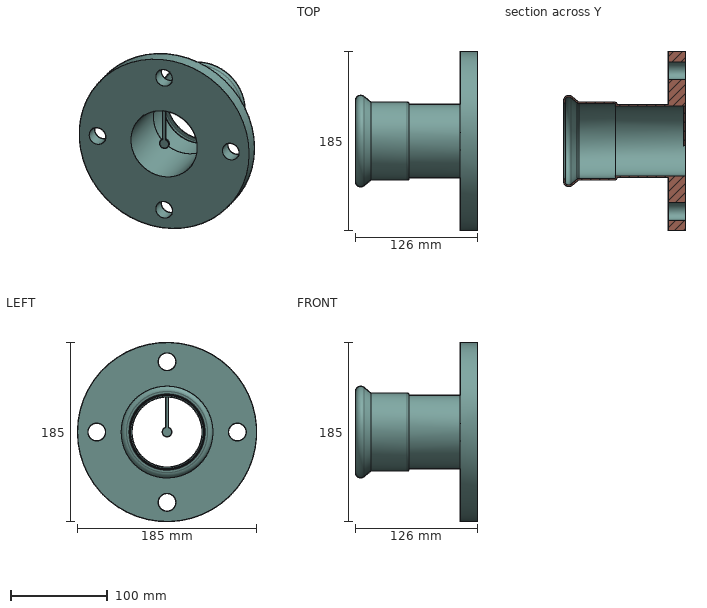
import cadquery as cq
import math

length = 126.0
flange_d = 185.0
flange_thickness = 18.0
bolt_circle_d = 145.0
bolt_hole_d = 18.0
bolt_count = 4

wall = 2.0
pipe_d = 76.1
socket_bore_d = 76.7
mouth_d = 78.2
lip_fillet = 0.5
bead_d = 94.7
bead_r = 5.5
cone_end_x = 15.9
groove_blend_r = 2.75
socket_depth = 53.5
shoulder_fillet = 2.15

tab_arm_width = 3.0
tab_disc_d = 10.0
tab_thickness = 2.0

flange_x = length - flange_thickness
pipe_r = pipe_d / 2
pipe_bore_r = pipe_r - wall
socket_bore_r = socket_bore_d / 2
socket_r = socket_bore_r + wall
mouth_r = mouth_d / 2
shoulder_end_x = socket_depth + wall

bead_x = bead_r
bead_center_r = bead_d / 2 - bead_r
groove_r = bead_r - wall
cone_run = cone_end_x - bead_x
cone_drop = bead_center_r - socket_r
tangent_angle = math.acos(bead_r / math.hypot(cone_run, cone_drop)) - math.atan2(cone_drop, cone_run)


def bead_point(radius, angle):
    """Point (x, distance from the axis) on a circle about the bead centre."""
    return bead_x + radius * math.cos(angle), bead_center_r + radius * math.sin(angle)


def groove_blend_points():
    """Cone end, middle and end of the rounding where the groove runs into the socket bore."""
    blend_center_r = socket_bore_r - groove_blend_r
    reach = groove_r - groove_blend_r
    drop = bead_center_r - blend_center_r
    blend_x = bead_x + (reach + drop * math.sin(tangent_angle)) / math.cos(tangent_angle)
    angles = (tangent_angle, (tangent_angle + math.pi / 2) / 2, math.pi / 2)
    return [
        (blend_x + groove_blend_r * math.cos(a), blend_center_r + groove_blend_r * math.sin(a))
        for a in angles
    ]


def make_fitting():
    cone_start, blend_mid, blend_end = groove_blend_points()
    arc_angle = (math.pi + tangent_angle) / 2
    profile = (
        cq.Workplane("XY")
        .moveTo(0, mouth_r + lip_fillet)
        .lineTo(0, bead_center_r)
        .threePointArc(bead_point(bead_r, arc_angle), bead_point(bead_r, tangent_angle))
        .lineTo(cone_end_x, socket_r)
        .lineTo(shoulder_end_x - shoulder_fillet, socket_r)
        .radiusArc((shoulder_end_x, socket_r - shoulder_fillet), shoulder_fillet)
        .lineTo(shoulder_end_x, pipe_r)
        .lineTo(flange_x, pipe_r)
        .lineTo(flange_x, flange_d / 2)
        .lineTo(length, flange_d / 2)
        .lineTo(length, pipe_bore_r)
        .lineTo(socket_depth, pipe_bore_r)
        .lineTo(socket_depth, socket_bore_r)
        .lineTo(*blend_end)
        .threePointArc(blend_mid, cone_start)
        .lineTo(*bead_point(groove_r, tangent_angle))
        .threePointArc(bead_point(groove_r, arc_angle), (wall, bead_center_r))
        .lineTo(wall, mouth_r + lip_fillet)
        .radiusArc((wall - lip_fillet, mouth_r), lip_fillet)
        .lineTo(lip_fillet, mouth_r)
        .radiusArc((0, mouth_r + lip_fillet), lip_fillet)
        .close()
    )
    body = profile.revolve(360, (0, 0, 0), (1, 0, 0))
    bolt_holes = (
        cq.Workplane("YZ", origin=(flange_x, 0, 0))
        .polarArray(bolt_circle_d / 2, 0, 360, bolt_count)
        .circle(bolt_hole_d / 2)
        .extrude(flange_thickness)
    )
    return body.cut(bolt_holes)


def make_tab():
    plane = cq.Workplane("YZ", origin=(length - tab_thickness, 0, 0))
    disc = plane.circle(tab_disc_d / 2).extrude(tab_thickness)
    arm = plane.center(0, pipe_r / 2).rect(tab_arm_width, pipe_r).extrude(tab_thickness)
    bore = plane.circle(pipe_bore_r).extrude(tab_thickness)
    return disc.union(arm).intersect(bore)


fitting = make_fitting()
tab = make_tab()
result = cq.Compound.makeCompound([fitting.val(), tab.val()])